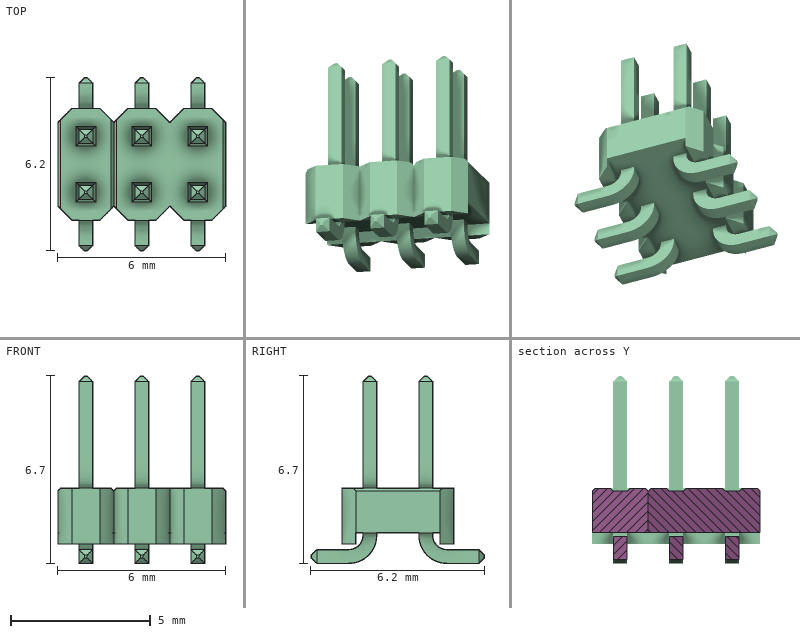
import cadquery as cq
import math

overall_width = 6.0
overall_depth = 6.2
overall_height = 6.7
column_count = 3
pitch = overall_width / column_count

block_depth = 2 * pitch
block_height = pitch
block_bottom = 0.7
block_top = block_bottom + block_height
corner_cut = pitch / 4
end_chamfer = 0.1
channel_height = 0.4
channel_width = block_depth - 2 * corner_cut

pin_width = pitch / 4
row_offset = pitch / 2
bend_inner_radius = 0.5
bend_axis_radius = bend_inner_radius + pin_width / 2
tip_length = 0.2
tip_flat = 0.1

mouth_width = 0.71
mouth_depth = (mouth_width - pin_width) / 2


def column_positions(columns):
    """X places of a segment's columns, about the segment's centre."""
    return [(index - (columns - 1) / 2) * pitch for index in range(columns)]


def block(columns):
    """Row of joined octagonal columns with chamfered top ends and a channel along the underside."""
    length = columns * pitch
    body = (
        cq.Workplane("XY", origin=(0, 0, block_bottom))
        .rect(length, channel_width)
        .extrude(block_height)
    )
    for x in column_positions(columns):
        column = (
            cq.Workplane("XY", origin=(x, 0, block_bottom))
            .rect(pitch, block_depth)
            .extrude(block_height)
            .edges("|Z")
            .chamfer(corner_cut)
        )
        body = body.union(column)
    chamfered = body.faces("<X or >X").edges(">Z").chamfer(end_chamfer)
    channel = cq.Workplane("XY", origin=(0, 0, block_bottom)).box(
        length, channel_width, channel_height, centered=(True, True, False)
    )
    return chamfered.cut(channel)


def tapered_square(plane, start_width, end_width, length):
    """Square frustum growing from the given plane along its normal."""
    return (
        cq.Workplane(plane)
        .rect(start_width, start_width)
        .workplane(offset=length)
        .rect(end_width, end_width)
        .loft(ruled=True)
    )


def bent_pin():
    """Front-row pin: a vertical post that bends outward into a foot toward -Y, both ends pointed."""
    post_end = overall_height - tip_length
    foot_end = -overall_depth / 2 + tip_length
    foot_z = pin_width / 2
    bend_z = foot_z + bend_axis_radius
    bend_y = -row_offset - bend_axis_radius
    bend_reach = bend_axis_radius * math.sqrt(0.5)
    path = (
        cq.Workplane("YZ")
        .moveTo(-row_offset, post_end)
        .lineTo(-row_offset, bend_z)
        .threePointArc((bend_y + bend_reach, bend_z - bend_reach), (bend_y, foot_z))
        .lineTo(foot_end, foot_z)
    )
    post_plane = cq.Plane(origin=(0, -row_offset, post_end), xDir=(1, 0, 0), normal=(0, 0, 1))
    foot_plane = cq.Plane(origin=(0, foot_end, foot_z), xDir=(1, 0, 0), normal=(0, -1, 0))
    pin = cq.Workplane(post_plane).rect(pin_width, pin_width).sweep(path)
    for plane in (post_plane, foot_plane):
        pin = pin.union(tapered_square(plane, pin_width, tip_flat, tip_length))
    return pin


def mouth():
    """Recess around a front-row pin, narrowing from the block top down to the pin."""
    plane = cq.Plane(origin=(0, -row_offset, block_top), xDir=(1, 0, 0), normal=(0, 0, -1))
    return tapered_square(plane, mouth_width, pin_width, mouth_depth)


def header_segment(columns, centre_x):
    """Block segment with a front and a rear pin moulded into each column, as one solid."""
    segment = block(columns)
    for x in column_positions(columns):
        for row_angle in (0, 180):
            recess = mouth().rotate((0, 0, 0), (0, 0, 1), row_angle).translate((x, 0, 0))
            pin = bent_pin().rotate((0, 0, 0), (0, 0, 1), row_angle).translate((x, 0, 0))
            segment = segment.cut(recess).union(pin)
    return segment.translate((centre_x, 0, 0))


single_columns = 1
long_columns = column_count - single_columns
joint_x = -overall_width / 2 + single_columns * pitch

single_segment = header_segment(single_columns, joint_x - single_columns * pitch / 2)
long_segment = header_segment(long_columns, joint_x + long_columns * pitch / 2)

result = cq.Compound.makeCompound([single_segment.solids().val(), long_segment.solids().val()])